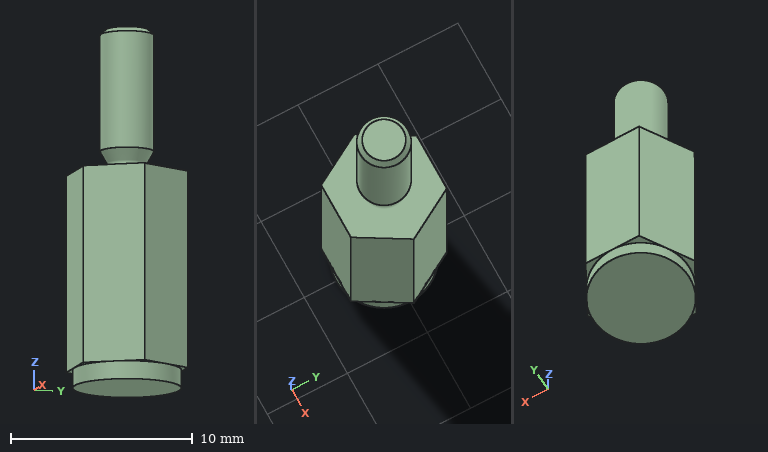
import cadquery as cq
import math

total_length = 20.0
collar_height = 1.0
stud_length = 8.0
shoulder_z = total_length - stud_length

across_flats = 6.0
hex_sides = 6
across_corners = across_flats / math.cos(math.pi / hex_sides)
collar_diameter = across_flats

stud_radius = 3.0 / 2
tip_chamfer = 0.3
tip_radius = stud_radius - tip_chamfer

relief_radius = 2.2 / 2
relief_width = 1.2
relief_fillet = 0.2
relief_angle = math.radians(30)


def make_collar():
    return cq.Workplane("XY").circle(collar_diameter / 2).extrude(collar_height)


def make_hex_body():
    return (
        cq.Workplane("XY")
        .workplane(offset=collar_height)
        .polygon(hex_sides, across_corners)
        .extrude(shoulder_z - collar_height)
    )


def arc_point(center, angle):
    """Point (radius, z) on a relief fillet arc; the angle is measured from +radius."""
    return (
        center[0] + relief_fillet * math.cos(angle),
        center[1] + relief_fillet * math.sin(angle),
    )


def make_stud():
    """Revolved stud: filleted relief groove, run-out cone, shank and chamfered tip."""
    groove_top_z = shoulder_z + relief_width
    cone_height = (stud_radius - relief_radius) / math.tan(relief_angle)
    cone_foot_z = groove_top_z - cone_height

    center_radius = relief_radius + relief_fillet
    lower_center = (center_radius, shoulder_z + relief_fillet)
    tangent_length = relief_fillet * math.tan(relief_angle / 2)
    upper_center = (center_radius, cone_foot_z - tangent_length)

    profile = (
        cq.Workplane("XZ")
        .moveTo(0, shoulder_z)
        .lineTo(*arc_point(lower_center, 1.5 * math.pi))
        .threePointArc(
            arc_point(lower_center, 1.25 * math.pi),
            arc_point(lower_center, math.pi),
        )
        .lineTo(*arc_point(upper_center, math.pi))
        .threePointArc(
            arc_point(upper_center, math.pi - relief_angle / 2),
            arc_point(upper_center, math.pi - relief_angle),
        )
        .lineTo(stud_radius, groove_top_z)
        .lineTo(stud_radius, total_length - tip_chamfer)
        .lineTo(tip_radius, total_length)
        .lineTo(0, total_length)
        .close()
    )
    return profile.revolve(360, (0, 0, 0), (0, 1, 0))


result = make_collar().union(make_hex_body()).union(make_stud())